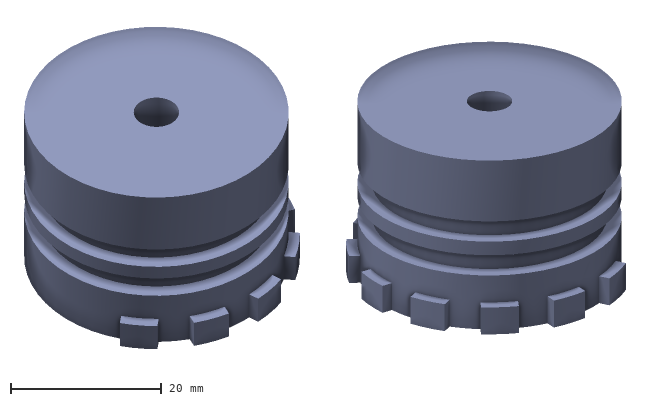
import cadquery as cq

outer_diameter = 37.98
body_diameter = 35.0
groove_diameter = 31.2
bore_diameter = 6.0
height = 25.0

groove_width = 3.0
groove_bottoms = (7.98, 13.0)

tooth_height = 4.0
tooth_width = 5.0
tooth_pitch_angle = 30
first_tooth_angle = -30
tooth_count = 9


def disc(diameter, thickness, bottom=0.0):
    return cq.Workplane("XY").workplane(offset=bottom).circle(diameter / 2).extrude(thickness)


def groove(bottom):
    return disc(outer_diameter, groove_width, bottom).cut(disc(groove_diameter, groove_width, bottom))


def tooth(angle):
    """Parallel-sided block running out from the axis to the outer diameter."""
    bar = cq.Workplane("XY").box(
        outer_diameter, tooth_width, tooth_height, centered=(False, True, False)
    )
    return bar.intersect(disc(outer_diameter, tooth_height)).rotate((0, 0, 0), (0, 0, 1), angle)


body = disc(body_diameter, height)
for groove_bottom in groove_bottoms:
    body = body.cut(groove(groove_bottom))

for index in range(tooth_count):
    body = body.union(tooth(first_tooth_angle + index * tooth_pitch_angle))

result = body.cut(disc(bore_diameter, height))